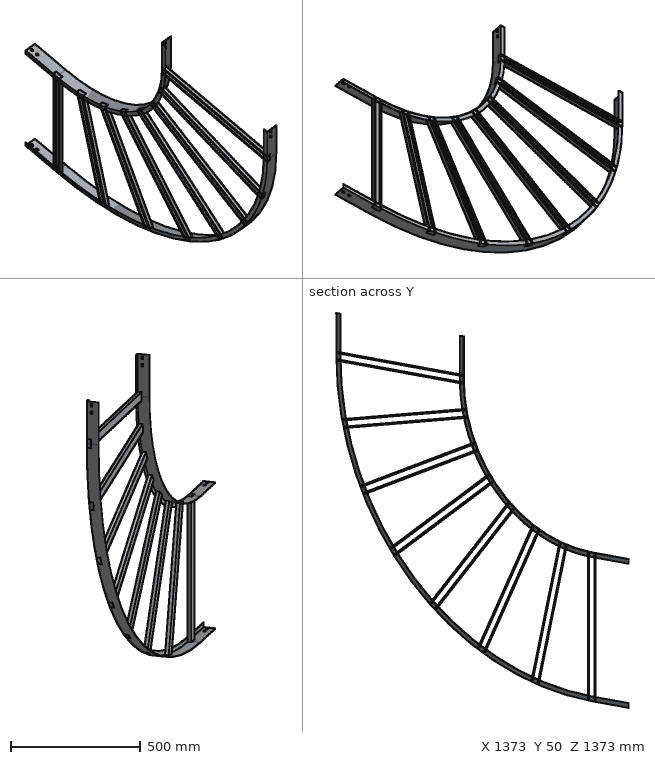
import cadquery as cq

inner_radius = 600.0
ladder_width = 600.0
outer_radius = inner_radius + ladder_width
sheet = 2.0
bend_rounding = 2.0
rail_depth = 50.0
flange_width = 20.0
leg_length = 173.0
bend_angle = 90.0

rung_count = 8
rung_width = 37.0
rung_depth = 16.5
rung_opening = 23.0
rung_wall = 1.5
rung_pitch = bend_angle / (rung_count - 1)

slot_length = 12.0
slot_height = 7.0
slot_y = 20.5
slot_end_distances = (15.0, 45.0)


def turned(shape, angle):
    """Turn a shape built below the bend axis to an angle along the bend."""
    return shape.rotate((0, 0, 0), (0, 1, 0), -angle)


def rail_section(web_radius, inward):
    """L section below the bend axis; inward is the radial direction from web to flange tip."""
    web_face = -web_radius
    web_back = web_face - inward * sheet
    flange_tip = web_face - inward * flange_width
    rounding_end = web_face - inward * bend_rounding
    return (
        cq.Workplane("YZ")
        .moveTo(rail_depth, web_face)
        .lineTo(bend_rounding, web_face)
        .tangentArcPoint((0, rounding_end), relative=False)
        .lineTo(0, flange_tip)
        .lineTo(sheet, flange_tip)
        .lineTo(sheet, web_back)
        .lineTo(rail_depth, web_back)
        .close()
    )


def rail(web_radius, inward):
    """One rail: a straight leg, the quarter bend and a second straight leg."""
    first_leg = rail_section(web_radius, inward).extrude(-leg_length)
    bend = rail_section(web_radius, inward).revolve(bend_angle, (0, 0), (-1, 0))
    last_leg = turned(rail_section(web_radius, inward).extrude(leg_length), bend_angle)
    return first_leg.union(bend).union(last_leg)


def slots_below_axis(points):
    """Slot cutters running from the bend axis down through both webs."""
    return (
        cq.Workplane("XY")
        .pushPoints(points)
        .slot2D(slot_length, slot_height)
        .extrude(-outer_radius)
    )


def end_slots():
    """Cutters for the fixing slots of both legs."""
    centre_distances = [leg_length - distance for distance in slot_end_distances]
    first_leg_points = [(-distance, slot_y) for distance in centre_distances]
    last_leg_points = [(distance, slot_y) for distance in centre_distances]
    return slots_below_axis(first_leg_points).union(turned(slots_below_axis(last_leg_points), bend_angle))


def rung():
    """One rung below the bend axis, resting on the flanges and reaching halfway into each web."""
    front = sheet
    back = sheet + rung_depth
    half_width = rung_width / 2
    half_cavity = half_width - rung_wall
    half_opening = rung_opening / 2
    web_overlap = sheet / 2
    top_radius = inner_radius + web_overlap
    length = ladder_width - 2 * web_overlap
    half_section = [
        (0, back),
        (half_width, back),
        (half_width, front),
        (half_opening, front),
        (half_opening, front + rung_wall),
        (half_cavity, front + rung_wall),
        (half_cavity, back - rung_wall),
        (0, back - rung_wall),
    ]
    top_plane = cq.Workplane("XY").workplane(offset=-top_radius)
    half = top_plane.polyline(half_section).close().extrude(-length)
    return half.union(half.mirror("YZ"))


inner_rail = rail(inner_radius, 1)
outer_rail = rail(outer_radius, -1)
slots = end_slots()

result = inner_rail.cut(slots)

for index in range(rung_count):
    result = result.union(turned(rung(), index * rung_pitch))
result = result.union(outer_rail.cut(slots))